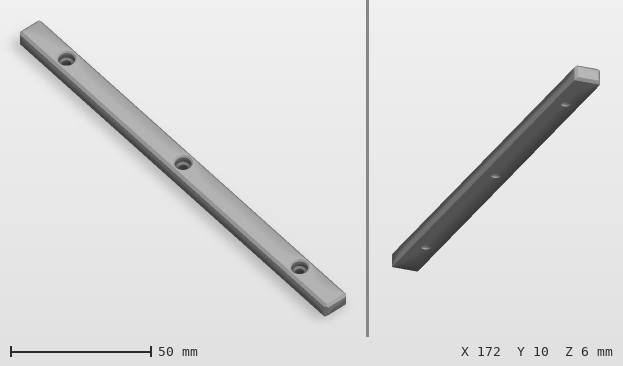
import cadquery as cq

length = 172.0
width = 10.0
height = 6.0

bevel = 1.0

hole_pitch = 65.0
hole_diameter = 3.5
counterbore_diameter = 6.0
counterbore_depth = 3.0
mouth_diameter = 7.2
mouth_bevel = (mouth_diameter - counterbore_diameter) / 2


def make_block():
    """Plain rectangular bar."""
    return cq.Workplane("XY").box(length, width, height, centered=(True, True, False))


def make_bar():
    """Bar common to a block with bevelled ends and one with bevelled long upper edges."""
    bevelled_ends = make_block().faces("<X or >X").edges().chamfer(bevel)
    bevelled_top = make_block().faces(">Z").edges("|X").chamfer(bevel)
    return bevelled_ends.intersect(bevelled_top)


def make_screw_hole(x):
    """Through hole with a counterbore and a bevelled mouth, as a solid to cut."""
    bore = cq.Workplane("XY").center(x, 0).circle(hole_diameter / 2).extrude(height)
    counterbore = (
        cq.Workplane("XY", origin=(x, 0, height - counterbore_depth))
        .circle(counterbore_diameter / 2)
        .extrude(counterbore_depth)
    )
    mouth = (
        cq.Workplane("XY", origin=(x, 0, height - mouth_bevel))
        .circle(counterbore_diameter / 2)
        .workplane(offset=mouth_bevel)
        .circle(mouth_diameter / 2)
        .loft()
    )
    return bore.union(counterbore).union(mouth)


result = make_bar()
for hole_x in (-hole_pitch, 0, hole_pitch):
    result = result.cut(make_screw_hole(hole_x))